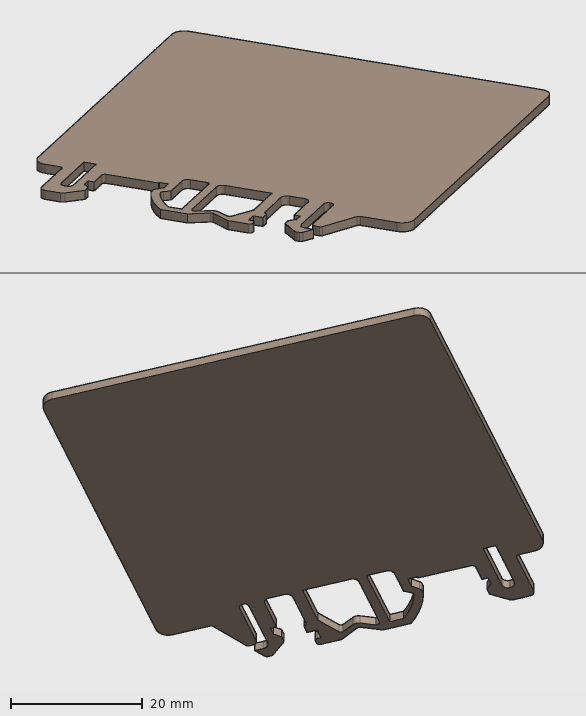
import cadquery as cq
import math


thickness = 1.5
plate_width = 62.0
total_height = 65.5
plate_bottom = 9.35
plate_corner_radius = 2.0
opening_top = 12.4
wall = 1.5
large_radius = 1.0
small_radius = 0.5

jaw_depth = 1.0
jaw_top = 5.9
jaw_bottom = 4.55
jaw_lip_top = jaw_bottom - jaw_depth
jaw_lip_bottom = 2.4

foot_left = 5.0
foot_right = 11.6
foot_tip_right = 8.9
foot_slot_left = 7.15
foot_slot_right = 9.15
foot_slot_bottom = 2.8
foot_slot_radius = 0.9

bracket_left = 22.2
bracket_right = 40.0
hook_left = 21.0
hook_neck_y = 8.0
hook_shoulder_y = 6.7
hook_inner_neck_y = 7.25
hook_inner_shoulder_y = 6.4
hook_arc_top = 5.75
hook_arc_bottom_x = 25.0
hook_inner_bottom_x = 25.7
hook_arc_radius = 13.5
hook_corner_radius = 0.9
neck_relief_left = 20.75
neck_relief_height = 0.25
rib_left = 27.9
rib_right = 29.4
bracket_floor = 1.45
peak_x = 32.8
floor_angle = 29.0
floor_bend_half_span = 3.3
peak_outer_y = floor_bend_half_span * math.tan(math.radians(floor_angle))
peak_inner_y = peak_outer_y + 1.1
peak_outer_radius = 0.5
peak_inner_radius = 1.2
floor_bend_left = peak_x - floor_bend_half_span
floor_bend_right = peak_x + floor_bend_half_span
opening_half_span = (peak_inner_y - bracket_floor) / math.tan(math.radians(floor_angle))
opening_bottom_right = 35.7
opening_right = 38.1
opening_chamfer_top = 5.35
bracket_notch_left = 38.95
bracket_notch_top = 3.2
bracket_lip = 40.55
bracket_lip_top = 4.6
bracket_lip_start = 5.05

latch_left = 44.5
latch_right = 46.95
latch_tip_left = 47.2
latch_tip_right = 48.2
latch_toe_x = 49.4
latch_toe_y = 1.95
latch_gap_radius = 0.7

wedge_left = 48.45
wedge_bottom = 3.2
wedge_radius = 0.8
wedge_tip_right = 50.1
wedge_root_right = 53.68


def sheet(points):
    """Straight-sided outline cut from the sheet."""
    return cq.Workplane("XY").polyline(points).close().extrude(thickness)


def block(left, right, bottom, top):
    """Rectangle cut from the sheet."""
    return sheet([(left, bottom), (right, bottom), (right, top), (left, top)])


def round_corners(body, radius, points):
    """Round the through-thickness edges at the given corner points."""
    for x, y in points:
        nearest = cq.selectors.NearestToPointSelector((x, y, thickness / 2))
        body = body.edges("|Z").edges(nearest).fillet(radius)
    return body


def jaw(face_x, inward):
    """Jaw corners from top to bottom; inward is the X direction into the material."""
    recess_x = face_x + inward * jaw_depth
    return [
        (face_x, jaw_top),
        (recess_x, jaw_top),
        (recess_x, jaw_bottom),
        (face_x, jaw_lip_top),
        (face_x, jaw_lip_bottom),
    ]


def make_plate():
    plate = block(0, plate_width, plate_bottom, total_height)
    return plate.edges("|Z").fillet(plate_corner_radius)


def make_left_foot():
    outline = [(foot_left, opening_top), (foot_right, opening_top)]
    outline += jaw(foot_right, -1)
    outline += [(foot_tip_right, 0), (foot_left, 0)]
    return round_corners(sheet(outline), large_radius, [(foot_left, 0), (foot_tip_right, 0)])


def make_foot_slot():
    slot = block(foot_slot_left, foot_slot_right, foot_slot_bottom, opening_top)
    return slot.edges("|Z and <Y").fillet(foot_slot_radius)


def make_bracket():
    bracket = (
        cq.Workplane("XY")
        .moveTo(bracket_right, opening_top)
        .lineTo(bracket_left, opening_top)
        .lineTo(bracket_left, hook_neck_y)
        .lineTo(hook_left, hook_shoulder_y)
        .lineTo(hook_left, hook_arc_top)
        .radiusArc((hook_arc_bottom_x, 0), -hook_arc_radius)
        .lineTo(floor_bend_left, 0)
        .lineTo(peak_x, peak_outer_y)
        .lineTo(floor_bend_right, 0)
        .lineTo(bracket_right, 0)
        .lineTo(bracket_right, bracket_floor)
        .lineTo(bracket_notch_left, bracket_floor)
        .lineTo(bracket_notch_left, bracket_notch_top)
        .lineTo(bracket_lip, bracket_notch_top)
        .lineTo(bracket_lip, bracket_lip_top)
        .lineTo(bracket_right, bracket_lip_start)
        .close()
        .extrude(thickness)
    )
    bracket = round_corners(bracket, peak_outer_radius, [(peak_x, peak_outer_y)])
    hook_corners = [(hook_left, hook_shoulder_y), (hook_left, hook_arc_top)]
    bracket = round_corners(bracket, hook_corner_radius, hook_corners)
    lip_corners = [(bracket_right, 0), (bracket_right, bracket_floor)]
    return round_corners(bracket, small_radius, lip_corners)


def make_hook_opening():
    """Opening behind the spring hook, one wall thickness inside it."""
    left = bracket_left + wall
    inner_hook_left = hook_left + wall
    opening = (
        cq.Workplane("XY")
        .moveTo(rib_left, opening_top)
        .lineTo(left, opening_top)
        .lineTo(left, hook_inner_neck_y)
        .lineTo(inner_hook_left, hook_inner_shoulder_y)
        .lineTo(inner_hook_left, hook_arc_top)
        .radiusArc((hook_inner_bottom_x, bracket_floor), -(hook_arc_radius - wall))
        .lineTo(rib_left, bracket_floor)
        .close()
        .extrude(thickness)
    )
    opening = round_corners(opening, large_radius, [(left, opening_top)])
    small_corners = [(rib_left, opening_top), (inner_hook_left, hook_inner_shoulder_y)]
    return round_corners(opening, small_radius, small_corners)


def make_bent_opening():
    """Opening right of the rib, with the bent floor."""
    opening = sheet([
        (rib_right, opening_top),
        (rib_right, bracket_floor),
        (peak_x - opening_half_span, bracket_floor),
        (peak_x, peak_inner_y),
        (opening_bottom_right, bracket_floor),
        (opening_right, opening_chamfer_top),
        (opening_right, opening_top),
    ])
    opening = round_corners(opening, peak_inner_radius, [(peak_x, peak_inner_y)])
    opening = round_corners(opening, large_radius, [(rib_right, opening_top)])
    lower_corners = [(rib_right, bracket_floor), (opening_bottom_right, bracket_floor)]
    return round_corners(opening, small_radius, lower_corners)


def make_latch():
    outline = [(latch_right, opening_top), (latch_left, opening_top)]
    outline += jaw(latch_left, 1)
    outline += [
        (latch_tip_left, 0),
        (latch_tip_right, 0),
        (latch_toe_x, latch_toe_y),
        (latch_right, latch_toe_y),
    ]
    latch = round_corners(sheet(outline), large_radius, [(latch_right, latch_toe_y)])
    return round_corners(latch, small_radius, [(latch_tip_left, 0), (latch_tip_right, 0)])


def make_wedge():
    wedge = sheet([
        (wedge_left, plate_bottom),
        (wedge_left, wedge_bottom),
        (wedge_tip_right, wedge_bottom),
        (wedge_root_right, plate_bottom),
    ])
    wedge = round_corners(wedge, wedge_radius, [(wedge_left, wedge_bottom)])
    return round_corners(wedge, small_radius, [(wedge_tip_right, wedge_bottom)])


def make_gap(left, right, radius):
    """Gap reaching from below into the plate, with rounded upper corners."""
    gap = block(left, right, plate_bottom, opening_top)
    return gap.edges("|Z and >Y").fillet(radius)


body = make_plate()
body = body.cut(make_gap(bracket_right, latch_left, large_radius))
body = body.cut(make_gap(latch_right, wedge_left, latch_gap_radius))
neck_relief_top = plate_bottom + neck_relief_height
body = body.cut(block(neck_relief_left, bracket_left, plate_bottom, neck_relief_top))

for make_part in [make_left_foot, make_bracket, make_latch, make_wedge]:
    body = body.union(make_part())
for make_opening in [make_foot_slot, make_hook_opening, make_bent_opening]:
    body = body.cut(make_opening())
body = body.clean()

leg_roots = [(foot_left, plate_bottom), (foot_right, plate_bottom), (wedge_root_right, plate_bottom)]
result = round_corners(body, small_radius, leg_roots)